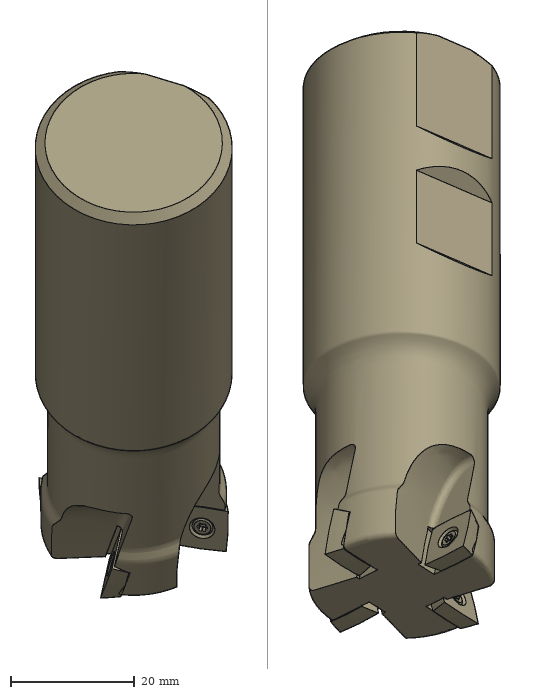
import cadquery as cq
import math

TOTAL_LENGTH = 100.0
SHANK_RADIUS = 16.0
SHANK_CHAMFER_HEIGHT = 1.3
SHANK_CHAMFER_WIDTH = 1.6
FLAT_HEIGHT = 14.0
UPPER_FLAT_BOTTOM = 80.4
LOWER_FLAT_TOP = 71.7
LOWER_FLAT_BOTTOM = 57.4

NECK_RADIUS = 14.0
NECK_TOP = 35.2
NECK_BLEND_RADIUS = 6.0
BLEND_ANGLE = math.radians(45)

BODY_BOTTOM = 0.3
HEAD_RADIUS = 15.1
HEAD_CONE_BOTTOM = 9.4
HEAD_CONE_ANGLE = math.radians(30)
HEAD_CONE_FILLET = 1.8
HEAD_BOTTOM_FILLET = 1.0

TOOTH_COUNT = 4
AXIAL_RAKE = 13.2
RADIAL_RAKE = 11.0
INSERT_CENTRE_X = 0.5
INSERT_CENTRE_Y = -11.7

GULLET_TURN = 24.0
GULLET_FLOOR = [(6.3, -1.0), (7.0, 11.5), (9.1, 17.3), (13.2, 20.7)]
GULLET_RUNOUT_SLOPE = 0.2
GULLET_CORNER_FILLET = 1.0

INSERT_SIZE = 8.6
INSERT_THICKNESS = 3.1
INSERT_PROUD = 0.3
INSERT_EDGE_DEPTH = 1.5
INSERT_EDGE_RELIEF = 14.0
INSERT_LOWER_RELIEF = 16.0
INSERT_CORNER_SETBACK = 0.15
SCREW_SINK_DIAMETER = 4.2
SCREW_HEAD_DIAMETER = 3.4
SCREW_RIM_DIAMETER = 2.8
SCREW_SINK_DEPTH = 0.4
SCREW_RIM_DEPTH = 0.2
SOCKET_DIAMETER = 1.2
SOCKET_LOBES = 6
SOCKET_LOBE_DIAMETER = 0.5
SOCKET_DEPTH = 1.2
INSERT_SIDE_GAP = 0.7

OVERSIZE = 20.0


def insert_plane():
    """Plane of the insert face: X points radially outward, Y up, Z away from the insert."""
    axial = math.radians(AXIAL_RAKE)
    radial = math.radians(RADIAL_RAKE)
    centre_z = INSERT_SIZE / 2 * math.cos(axial)
    outward = (math.sin(radial), -math.cos(radial), 0)
    normal = (
        -math.cos(axial) * math.cos(radial),
        -math.cos(axial) * math.sin(radial),
        math.sin(axial),
    )
    return cq.Plane(origin=(INSERT_CENTRE_X, INSERT_CENTRE_Y, centre_z), xDir=outward, normal=normal)


def seat_workplane(offset=0.0):
    """Workplane on the seat, which lies below the insert face, or parallel to it."""
    return cq.Workplane(insert_plane()).workplane(offset=offset - INSERT_PROUD)


def turned_body():
    """Round body: shank, neck and head, without flats and gullets."""
    radius_step = SHANK_RADIUS - NECK_RADIUS
    shank_blend_radius = radius_step / (1 - math.cos(BLEND_ANGLE)) - NECK_BLEND_RADIUS
    joint_radius = NECK_RADIUS + NECK_BLEND_RADIUS * (1 - math.cos(BLEND_ANGLE))
    joint_z = NECK_TOP + NECK_BLEND_RADIUS * math.sin(BLEND_ANGLE)
    shank_bottom = joint_z + shank_blend_radius * math.sin(BLEND_ANGLE)
    cone_top = HEAD_CONE_BOTTOM + (HEAD_RADIUS - NECK_RADIUS) / math.tan(HEAD_CONE_ANGLE)

    body = (
        cq.Workplane("XZ")
        .moveTo(0, BODY_BOTTOM)
        .lineTo(HEAD_RADIUS, BODY_BOTTOM)
        .lineTo(HEAD_RADIUS, HEAD_CONE_BOTTOM)
        .lineTo(NECK_RADIUS, cone_top)
        .lineTo(NECK_RADIUS, NECK_TOP)
        .tangentArcPoint((joint_radius, joint_z), relative=False)
        .tangentArcPoint((SHANK_RADIUS, shank_bottom), relative=False)
        .lineTo(SHANK_RADIUS, TOTAL_LENGTH - SHANK_CHAMFER_HEIGHT)
        .lineTo(SHANK_RADIUS - SHANK_CHAMFER_WIDTH, TOTAL_LENGTH)
        .lineTo(0, TOTAL_LENGTH)
        .close()
        .revolve(360, (0, 0, 0), (0, 1, 0))
    )
    for fillet_z, fillet_radius in (
        (BODY_BOTTOM, HEAD_BOTTOM_FILLET),
        (HEAD_CONE_BOTTOM, HEAD_CONE_FILLET),
        (cone_top, HEAD_CONE_FILLET),
    ):
        tolerance = 0.1
        ring = cq.selectors.BoxSelector(
            (-SHANK_RADIUS, -SHANK_RADIUS, fillet_z - tolerance),
            (SHANK_RADIUS, SHANK_RADIUS, fillet_z + tolerance),
            boundingbox=True,
        )
        body = body.edges(ring).fillet(fillet_radius)
    return body


def flat_cutter(bottom, top):
    """Trapezoid bar that mills one clamping flat, with 45 degree ends."""
    depth = OVERSIZE - FLAT_HEIGHT
    return (
        cq.Workplane("YZ")
        .moveTo(FLAT_HEIGHT, bottom)
        .lineTo(FLAT_HEIGHT, top)
        .lineTo(OVERSIZE, top + depth)
        .lineTo(OVERSIZE, bottom - depth)
        .close()
        .extrude(OVERSIZE, both=True)
    )


def gullet_cutter():
    """Chip space in front of the seat of the tooth on the -Y side."""
    turn = math.radians(GULLET_TURN)
    floor_direction = (math.sin(turn), -math.cos(turn), 0)
    sweep_direction = (-math.cos(turn), -math.sin(turn), 0)
    profile_plane = cq.Plane(origin=(0, 0, 0), xDir=floor_direction, normal=sweep_direction)
    runout_top = GULLET_FLOOR[-1][1]
    sweep = (
        cq.Workplane(profile_plane)
        .moveTo(*GULLET_FLOOR[0])
        .spline(GULLET_FLOOR[1:], tangents=[(0, 1), (1, GULLET_RUNOUT_SLOPE)], includeCurrent=True)
        .lineTo(OVERSIZE, runout_top + GULLET_RUNOUT_SLOPE * (OVERSIZE - GULLET_FLOOR[-1][0]))
        .lineTo(OVERSIZE, GULLET_FLOOR[0][1])
        .close()
        .extrude(OVERSIZE, both=True)
    )
    ahead_of_seat = (
        seat_workplane()
        .rect(4 * OVERSIZE, 4 * OVERSIZE)
        .extrude(2 * OVERSIZE)
    )
    gullet = sweep.intersect(ahead_of_seat)
    seat = insert_plane()
    seat_edges = gullet.faces(cq.selectors.DirectionMinMaxSelector(seat.zDir, False)).edges().vals()
    corner = [edge for edge in seat_edges if seat.toLocalCoords(edge.Center()).x < 0]
    return gullet.newObject(corner).fillet(GULLET_CORNER_FILLET)


def pocket_relief():
    """Slot that keeps the inner pocket wall clear of the insert."""
    half = INSERT_SIZE / 2
    pocket_depth = INSERT_THICKNESS - INSERT_PROUD
    return (
        seat_workplane(-pocket_depth)
        .moveTo(-half - INSERT_SIDE_GAP, -OVERSIZE)
        .lineTo(-half / 2, -OVERSIZE)
        .lineTo(-half / 2, half)
        .lineTo(-half - INSERT_SIDE_GAP, half)
        .close()
        .extrude(pocket_depth + GULLET_CORNER_FILLET)
    )


def screw_recess():
    """Countersink around the screw head and the six-lobed socket, on the XY plane."""
    sink = (
        cq.Workplane("XZ")
        .lineTo(SCREW_SINK_DIAMETER / 2, 0)
        .lineTo(SCREW_HEAD_DIAMETER / 2, -SCREW_SINK_DEPTH)
        .lineTo(SCREW_RIM_DIAMETER / 2, -SCREW_RIM_DEPTH)
        .lineTo(0, -SCREW_RIM_DEPTH)
        .close()
        .revolve(360, (0, 0, 0), (0, 1, 0))
    )
    recess = sink.union(cq.Workplane("XY").circle(SOCKET_DIAMETER / 2).extrude(-SOCKET_DEPTH))
    for lobe in range(SOCKET_LOBES):
        angle = math.radians(lobe * 360 / SOCKET_LOBES)
        lobe_x = SOCKET_DIAMETER / 2 * math.cos(angle)
        lobe_y = SOCKET_DIAMETER / 2 * math.sin(angle)
        recess = recess.union(
            cq.Workplane("XY")
            .center(lobe_x, lobe_y)
            .circle(SOCKET_LOBE_DIAMETER / 2)
            .extrude(-SOCKET_DEPTH)
        )
    return recess


def insert_blank():
    """Square insert without its screw recess, its face on the XY plane; the sides bulge slightly."""
    half = INSERT_SIZE / 2
    corner = half - INSERT_CORNER_SETBACK
    outline = [
        (corner, -corner), (half, 0),
        (corner, corner), (0, half),
        (-corner, corner), (-half, 0),
        (-corner, -corner), (0, -half),
    ]
    upper = cq.Workplane("XY").polyline(outline).close().extrude(-INSERT_EDGE_DEPTH, taper=INSERT_EDGE_RELIEF)
    lower = (
        upper.faces("<Z")
        .wires()
        .toPending()
        .workplane()
        .extrude(INSERT_THICKNESS - INSERT_EDGE_DEPTH, combine=False, taper=INSERT_LOWER_RELIEF)
    )
    return upper.union(lower)


def seated(shape):
    """Move a shape from the XY plane into the insert's place on the tooth on the -Y side."""
    return cq.Workplane(shape.val().moved(cq.Location(insert_plane())))


def placed_at_tooth(shape, index):
    """Turn a shape from the tooth on the -Y side to another tooth."""
    return shape.rotate((0, 0, 0), (0, 0, 1), index * 360 / TOOTH_COUNT)


body = turned_body()
body = body.cut(flat_cutter(UPPER_FLAT_BOTTOM, TOTAL_LENGTH))
body = body.cut(flat_cutter(LOWER_FLAT_BOTTOM, LOWER_FLAT_TOP))

gullet = gullet_cutter()
relief = pocket_relief()
blank = insert_blank()
pocket = seated(blank)
insert = seated(blank.cut(screw_recess()))
inserts = []
for tooth in range(TOOTH_COUNT):
    body = body.cut(placed_at_tooth(gullet, tooth))
    body = body.cut(placed_at_tooth(relief, tooth))
    body = body.cut(placed_at_tooth(pocket, tooth))
    inserts.append(placed_at_tooth(insert, tooth).solids().val())

result = cq.Compound.makeCompound([body.solids().val(), *inserts])